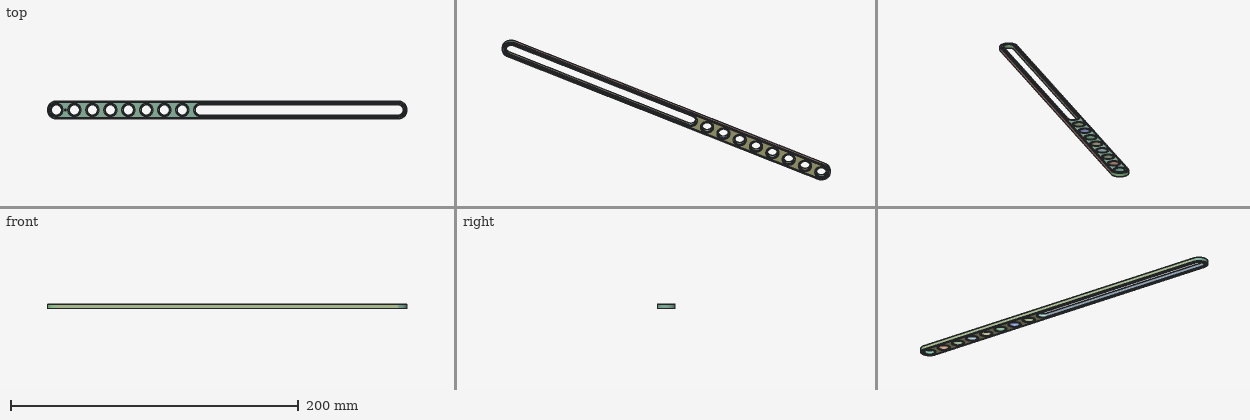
import cadquery as cq

length = 250.0
width = 12.5
hole_count = 8
hole_diameter = 7.0
lip_diameter = 9.2
edge_chamfer = 0.3
recess_depth = 0.18
dimple_diameter = 1.2
dimple_depth = 0.2

thickness = width / 4
half_thickness = thickness / 2
lip_width = (lip_diameter - hole_diameter) / 2

hole_pitch = width
end_center_x = (length - width) / 2
first_hole_x = -end_center_x
hole_centers_x = [first_hole_x + i * hole_pitch for i in range(hole_count)]
slot_start_x = first_hole_x + hole_count * hole_pitch
slot_span = end_center_x - slot_start_x
slot_center_x = (slot_start_x + end_center_x) / 2
dimple_x = first_hole_x + hole_pitch / 2

hole_radius = hole_diameter / 2
opening_profile = [
    (0, -half_thickness),
    (hole_radius + edge_chamfer, -half_thickness),
    (hole_radius, edge_chamfer - half_thickness),
    (hole_radius, half_thickness - edge_chamfer),
    (hole_radius + edge_chamfer, half_thickness),
    (0, half_thickness),
]


def make_bar():
    """Round-ended flat bar with both outer rims chamfered."""
    bar = cq.Workplane("XY").slot2D(length, width).extrude(half_thickness, both=True)
    return bar.faces("<Z or >Z").edges().chamfer(edge_chamfer)


def face_recess():
    """Shallow recess that leaves a raised lip along the rim and around each opening."""
    rim_inset = 2 * lip_width
    recess = cq.Workplane("XY").slot2D(length - rim_inset, width - rim_inset).extrude(recess_depth)
    hole_lips = cq.Workplane("XY").pushPoints([(x, 0) for x in hole_centers_x])
    recess = recess.cut(hole_lips.circle(lip_diameter / 2).extrude(recess_depth))
    slot_lip = cq.Workplane("XY").center(slot_center_x, 0).slot2D(slot_span + lip_diameter, lip_diameter)
    return recess.cut(slot_lip.extrude(recess_depth))


def round_opening(center_x):
    """Through hole with chamfered rims."""
    profile = cq.Workplane("XZ").polyline(opening_profile).close()
    return profile.revolve(360, (0, 0), (0, 1)).translate((center_x, 0, 0))


def slot_opening():
    """Long through slot: the opening profile run between two round ends."""
    half_profile = cq.Workplane("YZ", origin=(slot_start_x, 0, 0)).polyline(opening_profile).close()
    half_channel = half_profile.extrude(slot_span)
    channel = half_channel.union(half_channel.mirror("XZ"))
    return channel.union(round_opening(slot_start_x)).union(round_opening(end_center_x))


def dimple():
    """Tiny round dimple in the floor of the top recess, midway between the first two holes."""
    dimple_bottom_z = half_thickness - recess_depth - dimple_depth
    base = cq.Workplane("XY", origin=(dimple_x, 0, dimple_bottom_z))
    return base.circle(dimple_diameter / 2).extrude(recess_depth + dimple_depth)


result = make_bar()

for recess_bottom_z in (half_thickness - recess_depth, -half_thickness):
    result = result.cut(face_recess().translate((0, 0, recess_bottom_z)))

for hole_x in hole_centers_x:
    result = result.cut(round_opening(hole_x))
result = result.cut(slot_opening())
result = result.cut(dimple())